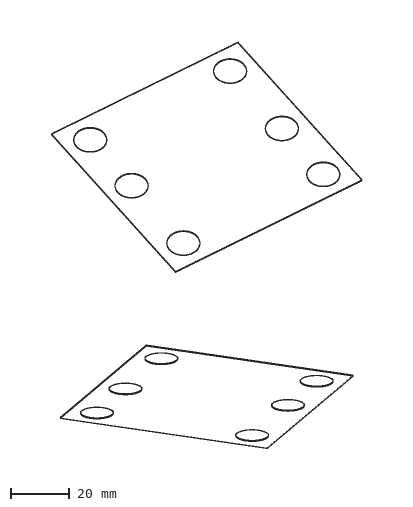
import cadquery as cq

side = 76.2
thickness = 0.4

hole_diameter = 11.2
edge_distance = 9.5
middle_offset = 3.2

corner = side / 2 - edge_distance
back_row = [(x, corner) for x in (-corner, middle_offset, corner)]
front_row = [(x, -corner) for x in (-corner, -middle_offset, corner)]

plate = cq.Workplane("XY").box(side, side, thickness)
result = plate.faces(">Z").workplane().pushPoints(back_row + front_row).hole(hole_diameter)